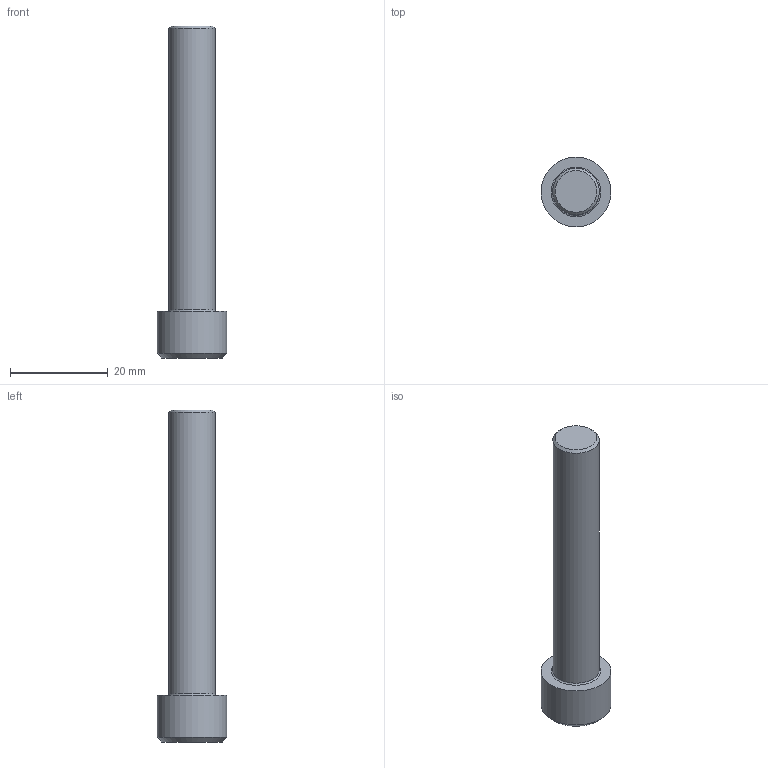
import cadquery as cq

overall_length = 67.945
head_diameter = 14.2875
head_height = 9.525
head_chamfer = 1.0

shank_diameter = 9.525
tip_chamfer = 0.5
neck_fillet = 0.3

shank_length = overall_length - head_height


def make_head():
    """Cylindrical head, not yet chamfered, below the bearing face."""
    return cq.Workplane("XY").circle(head_diameter / 2).extrude(-head_height)


def make_shank():
    """Plain round shank above the bearing face."""
    return cq.Workplane("XY").circle(shank_diameter / 2).extrude(shank_length)


def fillet_neck(screw):
    """Round the inner corner where the shank meets the bearing face."""
    shank_rims = screw.edges(cq.selectors.RadiusNthSelector(0))
    return shank_rims.edges("<Z").fillet(neck_fillet)


def chamfer_ends(screw):
    """Bevel the outer end of the head and the tip of the shank."""
    screw = screw.faces("<Z").edges().chamfer(head_chamfer)
    return screw.faces(">Z").edges().chamfer(tip_chamfer)


screw_blank = make_head().union(make_shank())
result = chamfer_ends(fillet_neck(screw_blank))